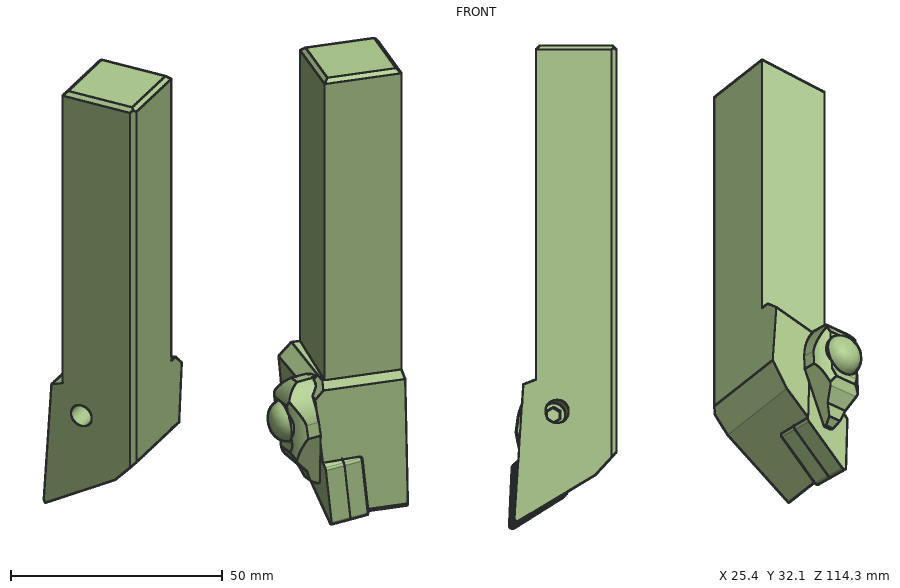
import cadquery as cq
import math

TOTAL_HEIGHT = 114.3
SHANK_SIDE = 19.1
SHANK_START_Z = 22.9
TOP_CHAMFER = 1.0
EDGE_CHAMFER = 1.1

STEP_Z = 35.3
STEP_OUTER = (-3.0, 34.2)
TIP_UPPER = (-5.0, 2.4)
TIP_LOWER = (-4.6, 1.6)
HEEL_LOWER = (14.1, 12.7)
HEEL_UPPER_Z = 18.2
SHOULDER_Z = 36.8
HEAD_DEPTH = 28.6
BEVEL_POINT = (0, 19.7, STEP_Z)
BEVEL_NORMAL = (-0.16, 1, 1)
LARGE = 91.4

TILT = 5.0
NOSE_POINT = (-6.4, 19.2, -0.7)

INSERT_EDGE = 15.5
INSERT_ANGLE = 55.0
LEAD_ANGLE = 3.0
INSERT_THICKNESS = 4.8
NOSE_RADIUS = 0.8
SHIM_THICKNESS = 4.8
SHIM_CHAMFER = 0.3

HOLE_X = 5.0
HOLE_Z = 27.8
HOLE_RADIUS = 2.7
HOLE_DEPTH = 9.1
HOLE_OVERCUT = 1.1
SOCKET_SIZE = 3.7
SOCKET_DEPTH = 2.3

CLAMP_X = 2.6
CLAMP_Z = 25.6
CLAMP_YAW = 8.0
CLAMP_HALF_WIDTH = 6.7
FLANK_LENGTH = 3.4
TAIL_END = 9.4
TAIL_HALF_WIDTH = 1.8
TAIL_SHOULDER = (6.1, 4.8)
CLAMP_NOSE_END = -17.1
CLAMP_NOSE_HALF_WIDTH = 1.1
FOOT_LENGTH = 5.7
FOOT_DROP = 1.8
TAB_WIDTH = 2.5
TAB_LENGTH = 2.3
TAB_DROP = 3.3
CLAMP_TOP = 6.4
TAIL_TOP = 2.3
TAIL_CROWN = (7.7, 4.8)
NOSE_SLOPE = [
    (CLAMP_NOSE_END, 0.7),
    (-15.7, 2.5),
    (-12.8, 3.3),
    (-9.6, 5.8),
    (-7.1, 6.9),
]
CLAMP_WALL = 3.2
CREST_HALF_WIDTH = 3.0
CREST_HEIGHT = 6.9
SHOULDER_MIDDLE = (5.3, 5.5)
DOME_RADIUS = 5.0
DOME_TOP = 9.6
DOME_SHOULDER = (3.5, 8.8)
DOME_SKIRT = 1.1


def tilted_plane(origin):
    """Plane parallel to the seat: local x runs near +Z, local y near +X, normal near +Y."""
    upright = cq.Plane(origin=origin, xDir=(0, 0, 1), normal=(0, 1, 0))
    return upright.rotated((TILT, -TILT, 0))


def polar(length, angle):
    return (length * math.cos(math.radians(angle)), length * math.sin(math.radians(angle)))


SEAT = tilted_plane(NOSE_POINT)


def seat_y(x, z):
    """Y of the seat plane above a point (x, z)."""
    normal = SEAT.zDir
    return NOSE_POINT[1] - (normal.x * (x - NOSE_POINT[0]) + normal.z * (z - NOSE_POINT[2])) / normal.y


def rhombus_plate(top, thickness):
    """Rounded rhombus whose upper face lies at height `top` over the seat plane."""
    side = polar(INSERT_EDGE, LEAD_ANGLE)
    front = polar(INSERT_EDGE, LEAD_ANGLE + INSERT_ANGLE)
    far = (side[0] + front[0], side[1] + front[1])
    underside = cq.Workplane(SEAT).workplane(offset=top - thickness)
    plate = underside.polyline([(0, 0), side, far, front]).close().extrude(thickness)
    return plate.edges(cq.selectors.ParallelDirSelector(SEAT.zDir)).fillet(NOSE_RADIUS)


def make_shank():
    bar = cq.Workplane("XY").workplane(offset=SHANK_START_Z).rect(SHANK_SIDE, SHANK_SIDE, centered=False)
    return bar.extrude(TOTAL_HEIGHT - SHANK_START_Z).faces(">Z").edges().chamfer(TOP_CHAMFER)


def make_head():
    outline = [
        (0, STEP_Z),
        STEP_OUTER,
        TIP_UPPER,
        TIP_LOWER,
        HEEL_LOWER,
        (SHANK_SIDE, HEEL_UPPER_Z),
        (SHANK_SIDE, SHOULDER_Z),
    ]
    head = cq.Workplane("XZ").polyline(outline).close().extrude(-HEAD_DEPTH)
    bevel_plane = cq.Plane(origin=BEVEL_POINT, normal=BEVEL_NORMAL)
    for plane in (SEAT, bevel_plane):
        head = head.cut(cq.Workplane(plane).rect(LARGE, LARGE).extrude(LARGE))
    return head


def make_edge_chamfer():
    """Prism that bevels the long edge between the +X and front sides."""
    corner = [
        (SHANK_SIDE, 0),
        (SHANK_SIDE - EDGE_CHAMFER, 0),
        (SHANK_SIDE, EDGE_CHAMFER),
    ]
    return cq.Workplane("XY").polyline(corner).close().extrude(TOTAL_HEIGHT)


def make_shim():
    shim = rhombus_plate(-INSERT_THICKNESS, SHIM_THICKNESS)
    underside = cq.selectors.DirectionMinMaxSelector(SEAT.zDir, directionMax=False)
    return shim.faces(underside).chamfer(SHIM_CHAMFER)


def make_screw_hole():
    """Tilted blind hole ending on the screw, which has a hexagonal socket."""
    entry = cq.Workplane(tilted_plane((HOLE_X, 0, HOLE_Z)))
    hole = entry.workplane(offset=-HOLE_OVERCUT).circle(HOLE_RADIUS).extrude(HOLE_DEPTH + HOLE_OVERCUT)
    socket = entry.workplane(offset=HOLE_DEPTH).polygon(6, SOCKET_SIZE).extrude(SOCKET_DEPTH)
    return hole.union(socket)


def make_clamp():
    base_plane = tilted_plane((CLAMP_X, seat_y(CLAMP_X, CLAMP_Z), CLAMP_Z)).rotated((0, 0, CLAMP_YAW))
    plan = cq.Workplane(base_plane).workplane(offset=-FOOT_DROP)
    plan = plan.moveTo(CLAMP_NOSE_END, -CLAMP_NOSE_HALF_WIDTH).lineTo(-FLANK_LENGTH, -CLAMP_HALF_WIDTH)
    plan = plan.lineTo(0, -CLAMP_HALF_WIDTH)
    plan = plan.threePointArc((TAIL_SHOULDER[0], -TAIL_SHOULDER[1]), (TAIL_END, -TAIL_HALF_WIDTH))
    plan = plan.lineTo(TAIL_END, TAIL_HALF_WIDTH)
    plan = plan.threePointArc(TAIL_SHOULDER, (0, CLAMP_HALF_WIDTH))
    plan = plan.lineTo(-FLANK_LENGTH, CLAMP_HALF_WIDTH).lineTo(CLAMP_NOSE_END, CLAMP_NOSE_HALF_WIDTH)
    block = plan.close().extrude(FOOT_DROP + DOME_TOP)

    side_plane = base_plane.rotated((90, 0, 0))
    side = cq.Workplane(side_plane).polyline([
        (TAIL_END, TAIL_TOP),
        (TAIL_END, -FOOT_DROP),
        (TAIL_END - FOOT_LENGTH, -FOOT_DROP),
        (TAIL_END - FOOT_LENGTH, 0),
        (CLAMP_NOSE_END, 0),
        *NOSE_SLOPE,
        (-DOME_RADIUS, CLAMP_TOP),
        (DOME_RADIUS, CLAMP_TOP),
    ])
    side = side.threePointArc(TAIL_CROWN, (TAIL_END, TAIL_TOP)).close()
    clamp = block.intersect(side.extrude(CLAMP_HALF_WIDTH * 2, both=True))

    section_plane = cq.Plane(base_plane.origin, base_plane.yDir, base_plane.xDir)
    section = cq.Workplane(section_plane).moveTo(-CLAMP_HALF_WIDTH, -FOOT_DROP)
    section = section.lineTo(CLAMP_HALF_WIDTH, -FOOT_DROP).lineTo(CLAMP_HALF_WIDTH, CLAMP_WALL)
    section = section.threePointArc(SHOULDER_MIDDLE, (CREST_HALF_WIDTH, CREST_HEIGHT))
    section = section.lineTo(-CREST_HALF_WIDTH, CREST_HEIGHT)
    far_middle = (-SHOULDER_MIDDLE[0], SHOULDER_MIDDLE[1])
    section = section.threePointArc(far_middle, (-CLAMP_HALF_WIDTH, CLAMP_WALL))
    clamp = clamp.intersect(section.close().extrude(LARGE, both=True))

    dome_base = CLAMP_TOP - DOME_SKIRT
    dome = cq.Workplane(side_plane).moveTo(0, dome_base).lineTo(DOME_RADIUS, dome_base)
    dome = dome.lineTo(DOME_RADIUS, CLAMP_TOP).threePointArc(DOME_SHOULDER, (0, DOME_TOP)).close()
    dome = dome.revolve(360, (0, 0), (0, 1))

    tab = cq.Workplane(base_plane).center(TAIL_END - TAB_LENGTH / 2, 0).rect(TAB_LENGTH, TAB_WIDTH)
    return clamp.union(dome).union(tab.extrude(-TAB_DROP))


insert = rhombus_plate(0, INSERT_THICKNESS)
holder = make_shank().union(make_head()).cut(make_edge_chamfer())
holder = holder.cut(insert).union(make_shim()).union(make_clamp()).cut(make_screw_hole())

result = cq.Compound.makeCompound([*holder.solids().vals(), *insert.solids().vals()])